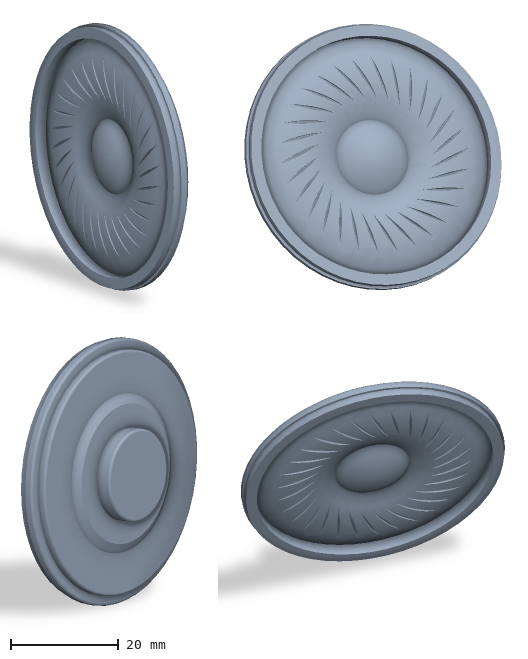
import cadquery as cq
import math


ring_radius = 24.5
ring_inner_radius = 22.5
ring_depth = 2.3

flange_radius = 25.0
flange_front = 1.4
flange_back = flange_front + 1.5
step_radius = 23.0
step_back = flange_back + 1.5
cone_front_radius = 14.95
cone_back_radius = 13.15
cone_back = step_back + 1.05
magnet_radius = 8.7
magnet_back = cone_back + 3.0
edge_round = 0.5

membrane_back = ring_depth + 0.4
hump_crest = 0.375
dome_radius = 7.05
dome_foot = 2.25
dome_tip = -0.1

groove_count = 30
groove_inner_radius = 11.05
groove_inner_offset = 6.75
groove_outer_radius = 18.8
groove_outer_offset = 6.85
groove_floor = 0.85
groove_opening = 0.25
groove_far_bulge = 0.35
groove_near_bulge_floor = 0.1
groove_near_bulge_opening = 0.25


def revolved(outline):
    """Turn an outline of radius and depth a full turn about the Y axis."""
    return outline.close().revolve(360, (0, 0, 0), (0, 1, 0))


class RimSelector(cq.Selector):
    """Pick the circular edge of a given radius at a given depth along the Y axis."""

    def __init__(self, radius, depth):
        self.radius = radius
        self.depth = depth

    def filter(self, edges):
        tolerance = 0.005
        circles = [edge for edge in edges if edge.geomType() == "CIRCLE"]
        level = [edge for edge in circles if abs(edge.Center().y - self.depth) < tolerance]
        return [edge for edge in level if abs(edge.radius() - self.radius) < tolerance]


def make_frame():
    body = revolved(
        cq.Workplane("XY")
        .moveTo(0, flange_front)
        .lineTo(flange_radius, flange_front)
        .lineTo(flange_radius, flange_back)
        .lineTo(step_radius, flange_back)
        .lineTo(step_radius, step_back)
        .lineTo(cone_front_radius, step_back)
        .lineTo(cone_back_radius, cone_back)
        .lineTo(magnet_radius, cone_back)
        .lineTo(magnet_radius, magnet_back)
        .lineTo(0, magnet_back)
    )
    for radius, back in (
        (flange_radius, flange_back),
        (step_radius, step_back),
        (magnet_radius, magnet_back),
    ):
        body = body.edges(RimSelector(radius, back)).fillet(edge_round)
    seat = revolved(
        cq.Workplane("XY")
        .moveTo(0, flange_front)
        .lineTo(ring_radius, flange_front)
        .lineTo(ring_radius, ring_depth)
        .lineTo(ring_inner_radius, ring_depth)
        .lineTo(ring_inner_radius, membrane_back)
        .lineTo(0, membrane_back)
    )
    return body.cut(seat)


def make_ring():
    return revolved(
        cq.Workplane("XY")
        .moveTo(ring_inner_radius, 0)
        .lineTo(ring_radius, 0)
        .lineTo(ring_radius, ring_depth)
        .lineTo(ring_inner_radius, ring_depth)
    )


def groove_outline(depth, near_bulge):
    """Two arcs that meet in points at both ends of the groove, drawn at one depth."""
    inner_x = groove_inner_offset
    outer_x = groove_outer_offset
    inner_z = math.sqrt(groove_inner_radius**2 - inner_x**2)
    outer_z = math.sqrt(groove_outer_radius**2 - outer_x**2)
    middle_x = (inner_x + outer_x) / 2
    middle_z = (inner_z + outer_z) / 2
    inner_tip = cq.Vector(inner_x, depth, inner_z)
    outer_tip = cq.Vector(outer_x, depth, outer_z)
    far_middle = cq.Vector(middle_x + groove_far_bulge, depth, middle_z)
    near_middle = cq.Vector(middle_x - near_bulge, depth, middle_z)
    far_side = cq.Edge.makeThreePointArc(inner_tip, far_middle, outer_tip)
    near_side = cq.Edge.makeThreePointArc(outer_tip, near_middle, inner_tip)
    return cq.Wire.assembleEdges([far_side, near_side])


def make_groove_cutter():
    """Lens-shaped cutter with a flat floor, deepest under the crest of the hump."""
    floor_outline = groove_outline(groove_floor, groove_near_bulge_floor)
    opening_outline = groove_outline(groove_opening, groove_near_bulge_opening)
    return cq.Workplane(cq.Solid.makeLoft([floor_outline, opening_outline], True))


def make_membrane():
    dome_height = dome_foot - dome_tip
    dome_sphere = (dome_radius**2 + dome_height**2) / (2 * dome_height)
    dome_mid_radius = dome_radius / 2
    dome_mid = dome_tip + dome_sphere - math.sqrt(dome_sphere**2 - dome_mid_radius**2)
    hump_mid_radius = (dome_radius + ring_inner_radius) / 2
    body = revolved(
        cq.Workplane("XY")
        .moveTo(0, membrane_back)
        .lineTo(ring_inner_radius, membrane_back)
        .lineTo(ring_inner_radius, ring_depth)
        .threePointArc((hump_mid_radius, hump_crest), (dome_radius, dome_foot))
        .threePointArc((dome_mid_radius, dome_mid), (0, dome_tip))
    )
    cutter = make_groove_cutter()
    for index in range(groove_count):
        angle = 360 / groove_count * index
        body = body.cut(cutter.rotate((0, 0, 0), (0, 1, 0), angle))
    return body


frame = make_frame()
ring = make_ring()
membrane = make_membrane()

result = cq.Compound.makeCompound([frame.val(), ring.val(), membrane.val()])